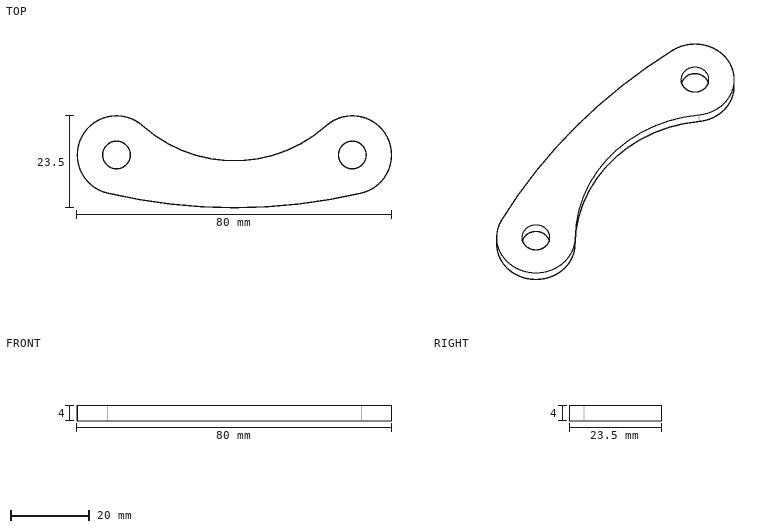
import cadquery as cq
import math

hole_spacing = 60.0
hole_diameter = 7.0
end_radius = 10.0
thickness = 4.0
inner_radius = 35.0
web_width = 12.0

half_spacing = hole_spacing / 2

inner_center_y = math.sqrt((inner_radius + end_radius) ** 2 - half_spacing ** 2)
inner_low_y = inner_center_y - inner_radius
inner_tangent_x = half_spacing * inner_radius / (inner_radius + end_radius)
inner_tangent_y = end_radius * inner_center_y / (inner_radius + end_radius)

outer_low_y = inner_low_y - web_width
outer_radius = (half_spacing ** 2 + outer_low_y ** 2 - end_radius ** 2) / (-2 * (outer_low_y + end_radius))
outer_center_y = outer_low_y + outer_radius
outer_tangent_x = half_spacing * outer_radius / (outer_radius - end_radius)
outer_tangent_y = -end_radius * outer_center_y / (outer_radius - end_radius)

end_outer_x = half_spacing + end_radius


def make_plate():
    """Solid plate bounded by four tangent arcs."""
    return (
        cq.Workplane("XY")
        .moveTo(-inner_tangent_x, inner_tangent_y)
        .threePointArc((0, inner_low_y), (inner_tangent_x, inner_tangent_y))
        .threePointArc((end_outer_x, 0), (outer_tangent_x, outer_tangent_y))
        .threePointArc((0, outer_low_y), (-outer_tangent_x, outer_tangent_y))
        .threePointArc((-end_outer_x, 0), (-inner_tangent_x, inner_tangent_y))
        .close()
        .extrude(thickness)
    )


def cut_holes(plate):
    """Through hole concentric with each round end."""
    return (
        plate.faces(">Z")
        .workplane(origin=(0, 0, thickness))
        .pushPoints([(-half_spacing, 0), (half_spacing, 0)])
        .hole(hole_diameter)
    )


result = cut_holes(make_plate())